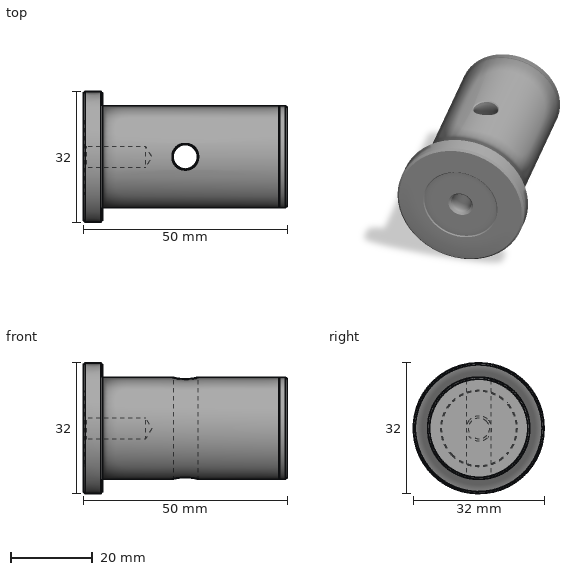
import cadquery as cq
import math

LENGTH = 50.0
FACE_X = -LENGTH / 2
END_X = LENGTH / 2
EDGE_CHAMFER = 0.5

FLANGE_DIAMETER = 32.0
FLANGE_THICKNESS = 4.8
SHANK_DIAMETER = 25.0

GROOVE_WIDTH = 0.3
GROOVE_DEPTH = 0.25
GROOVE_TO_END = 1.85

RECESS_DIAMETER = 18.75
RECESS_DEPTH = 0.25

TAP_DIAMETER = 5.1
TAP_MOUTH_DIAMETER = 6.2
TAP_DEPTH = 15.0
DRILL_POINT_ANGLE = 118.0

CROSS_DIAMETER = 6.0
CROSS_CHAMFER = 0.25


def disc(diameter, start_x, length):
    """Cylinder on the X axis, running towards +X from start_x."""
    return cq.Workplane("YZ", origin=(start_x, 0, 0)).circle(diameter / 2).extrude(length)


def turned(profile):
    """Solid made by turning a closed (x, radius) profile around the X axis."""
    return cq.Workplane("XY").polyline(profile).close().revolve(360, (0, 0, 0), (1, 0, 0))


def make_body():
    flange = disc(FLANGE_DIAMETER, FACE_X, FLANGE_THICKNESS).edges().chamfer(EDGE_CHAMFER)
    shank = disc(SHANK_DIAMETER, FACE_X + FLANGE_THICKNESS / 2, LENGTH - FLANGE_THICKNESS / 2)
    shank = shank.faces(">X").edges().chamfer(EDGE_CHAMFER)
    return flange.union(shank)


def make_groove():
    """Turned V-shaped ring; its profile reaches past the shank by one groove depth to cut clean."""
    shank_radius = SHANK_DIAMETER / 2
    far_x = END_X - GROOVE_TO_END
    near_x = far_x - GROOVE_WIDTH
    profile = [
        (near_x, shank_radius + GROOVE_DEPTH),
        (near_x, shank_radius),
        ((near_x + far_x) / 2, shank_radius - GROOVE_DEPTH),
        (far_x, shank_radius),
        (far_x, shank_radius + GROOVE_DEPTH),
    ]
    return turned(profile)


def make_face_opening():
    """Recess, thread lead-in, hole wall and drill point as one turned cutter."""
    tap_radius = TAP_DIAMETER / 2
    mouth_radius = TAP_MOUTH_DIAMETER / 2
    recess_radius = RECESS_DIAMETER / 2
    recess_x = FACE_X + RECESS_DEPTH
    wall_start_x = recess_x + mouth_radius - tap_radius
    wall_end_x = recess_x + TAP_DEPTH
    tip_x = wall_end_x + tap_radius / math.tan(math.radians(DRILL_POINT_ANGLE / 2))
    profile = [
        (FACE_X, 0),
        (FACE_X, recess_radius),
        (recess_x, recess_radius - RECESS_DEPTH),
        (recess_x, mouth_radius),
        (wall_start_x, tap_radius),
        (wall_end_x, tap_radius),
        (tip_x, 0),
    ]
    return turned(profile)


def drill_cross_hole(body):
    hole = cq.Workplane("XY").circle(CROSS_DIAMETER / 2).extrude(SHANK_DIAMETER, both=True)
    rim = cq.selectors.BoxSelector(
        (-CROSS_DIAMETER, -CROSS_DIAMETER, -SHANK_DIAMETER),
        (CROSS_DIAMETER, CROSS_DIAMETER, SHANK_DIAMETER),
        boundingbox=True,
    )
    return body.cut(hole).edges(rim).edges("not |Z").chamfer(CROSS_CHAMFER)


pin = drill_cross_hole(make_body())
result = pin.cut(make_groove()).cut(make_face_opening())